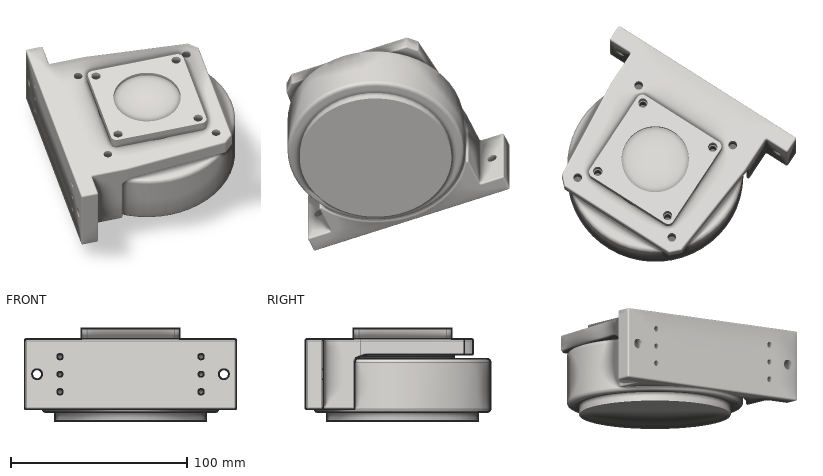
import cadquery as cq
import math


overall_depth = 105.0

disc_diameter = 100.0
disc_thickness = 30.4
disc_drop = 1.5
disc_edge_radius = 2.0
foot_diameter = 86.0
foot_height = 5.0
neck_diameter = 59.0
neck_recess_diameter = 68.8
neck_recess_depth = 1.0

flange_width = 120
flange_depth = 10.0
bracket_height = 40.0
wall_width = 91.5
taper_start_y = -24.0
plate_back_y = 40.1
plate_back_width = 80.8
plate_corner_cut = 5.0
plate_thickness = 9.0
shoulder_height = 1.0
edge_radius = 1.0
pocket_clearance = 1.8
pocket_corner_radius = 4.0

pad_side = 56.0
pad_height = 6.0
pad_corner_radius = 3.2
seat_diameter = 57.0
seat_depth = 2.0
spigot_diameter = 56.0
recess_diameter = 38.2
recess_depth = 2.0

pad_hole_diameter = 5.3
pad_hole_spacing = 47.2
tapped_hole_diameter = 4.1
plate_hole_diameter = 4.9
plate_hole_spacing = 63.6

mount_hole_diameter = 5.5
mount_hole_spacing = 106.0
outer_hole_diameter = 3.2
middle_hole_diameter = 3.0
blind_hole_depth = 10.0
blind_hole_spacing = 80.0
blind_hole_pitch = 10.0
drill_tip_angle = 118

disc_radius = disc_diameter / 2
front_y = disc_radius - overall_depth
flange_back_y = front_y + flange_depth
plate_bottom_z = -plate_thickness
shoulder_bottom_z = plate_bottom_z - shoulder_height
disc_bottom_z = -bracket_height - disc_drop
disc_top_z = disc_bottom_z + disc_thickness
pocket_radius = disc_radius + pocket_clearance
pocket_wall_top_z = plate_bottom_z - pocket_corner_radius
pocket_mouth_y = -math.sqrt(pocket_radius**2 - (wall_width / 2) ** 2)

margin = 0.1


def cylinder(diameter, bottom_z, top_z):
    return cq.Workplane("XY").workplane(offset=bottom_z).circle(diameter / 2).extrude(top_z - bottom_z)


def edge_box(y_min, y_max, z_min, z_max):
    """Picks the edges centred within these limits, over the whole width."""
    return cq.selectors.BoxSelector(
        (-flange_width, y_min - margin, z_min - margin),
        (flange_width, y_max + margin, z_max + margin),
    )


def make_bracket():
    half_back = plate_back_width / 2
    right_side = [
        (flange_width / 2, front_y),
        (flange_width / 2, flange_back_y),
        (wall_width / 2, flange_back_y),
        (wall_width / 2, taper_start_y),
        (half_back, plate_back_y - plate_corner_cut),
        (half_back - plate_corner_cut, plate_back_y),
    ]
    left_side = [(-x, y) for x, y in reversed(right_side)]
    body = cq.Workplane("XY").polyline(right_side + left_side).close().extrude(-bracket_height)
    flange_corners = edge_box(front_y, flange_back_y, -bracket_height, 0)
    body = body.edges("|Z").edges(flange_corners).fillet(edge_radius)
    return round_edges(body.cut(make_pocket())).union(make_shoulder())


def make_pocket():
    """The space that clears the disc: round in front, open at the back, with a rounded roof rim."""
    back_y = 2 * disc_radius
    return (
        cq.Workplane("XY")
        .workplane(offset=plate_bottom_z)
        .moveTo(-pocket_radius, 0)
        .threePointArc((0, -pocket_radius), (pocket_radius, 0))
        .lineTo(pocket_radius, back_y)
        .lineTo(-pocket_radius, back_y)
        .close()
        .extrude(-bracket_height)
        .faces(">Z")
        .edges()
        .fillet(pocket_corner_radius)
    )


def round_edges(body):
    """Rounds the rims of the outline and the pocket's mouth.

    The outline's other vertical edges and the arcs bounding the pocket's roof rim stay as they are.
    """
    upright = body.edges("|Z")
    mouth = edge_box(pocket_mouth_y, pocket_mouth_y, -bracket_height, pocket_wall_top_z)
    roof_rim = edge_box(front_y, 0, pocket_wall_top_z, plate_bottom_z)
    kept = upright.vals() + body.edges("%CIRCLE").edges(roof_rim).vals()
    rims = [edge for edge in body.edges().vals() if edge not in kept]
    return body.newObject(rims + upright.edges(mouth).vals()).fillet(edge_radius)


def make_shoulder():
    """The low boss under the plate, rounded at its lower rim; its top is buried in the plate."""
    shoulder = cylinder(neck_diameter, shoulder_bottom_z, plate_bottom_z / 2)
    return shoulder.faces("<Z").edges().fillet(edge_radius)


def make_disc():
    recess_floor_z = disc_top_z - neck_recess_depth
    disc = cylinder(disc_diameter, disc_bottom_z, disc_top_z).edges().fillet(disc_edge_radius)
    disc = disc.cut(cylinder(neck_recess_diameter, recess_floor_z, disc_top_z))
    neck = cylinder(neck_diameter, recess_floor_z, shoulder_bottom_z)
    foot = cylinder(foot_diameter, disc_bottom_z - foot_height, disc_bottom_z)
    return disc.union(neck).union(foot)


def make_pad():
    pad = (
        cq.Workplane("XY")
        .rect(pad_side, pad_side)
        .extrude(pad_height)
        .edges("|Z")
        .fillet(pad_corner_radius)
    )
    spigot = cylinder(spigot_diameter, -seat_depth, 0)
    recess = cylinder(recess_diameter, pad_height - recess_depth, pad_height)
    return pad.union(spigot).cut(recess)


def square_pattern(spacing):
    return [(x * spacing / 2, y * spacing / 2) for x in (-1, 1) for y in (-1, 1)]


def drill_pad_and_plate(body):
    for x, y in square_pattern(pad_hole_spacing):
        clearance_hole = cylinder(pad_hole_diameter, 0, pad_height)
        tapped_hole = cylinder(tapped_hole_diameter, plate_bottom_z, 0)
        body = body.cut(clearance_hole.union(tapped_hole).translate((x, y, 0)))
    for x, y in square_pattern(plate_hole_spacing):
        body = body.cut(cylinder(plate_hole_diameter, plate_bottom_z, 0).translate((x, y, 0)))
    return body


def blind_hole(diameter):
    """A hole going down from Z = 0 to a drill-point bottom."""
    radius = diameter / 2
    tip_height = radius / math.tan(math.radians(drill_tip_angle / 2))
    tip_z = -blind_hole_depth - tip_height
    profile = [(0, 0), (radius, 0), (radius, -blind_hole_depth), (0, tip_z)]
    return cq.Workplane("XZ").polyline(profile).close().revolve(360, (0, 0), (0, 1))


def place_on_front(hole, x, z):
    """Turns a hole that goes down from Z = 0 so that it goes in from the front face."""
    return hole.rotate((0, 0, 0), (1, 0, 0), 90).translate((x, front_y, z))


def drill_flange(body):
    middle_z = -bracket_height / 2
    for side in (-1, 1):
        mount_hole = cylinder(mount_hole_diameter, -flange_depth, 0)
        body = body.cut(place_on_front(mount_hole, side * mount_hole_spacing / 2, middle_z))
        for row in (-1, 0, 1):
            diameter = middle_hole_diameter if row == 0 else outer_hole_diameter
            x = side * blind_hole_spacing / 2
            z = middle_z + row * blind_hole_pitch
            body = body.cut(place_on_front(blind_hole(diameter), x, z))
    return body


seat = cylinder(seat_diameter, -seat_depth, 0)
part = make_bracket().cut(seat).union(make_disc()).union(make_pad())
result = drill_flange(drill_pad_and_plate(part))